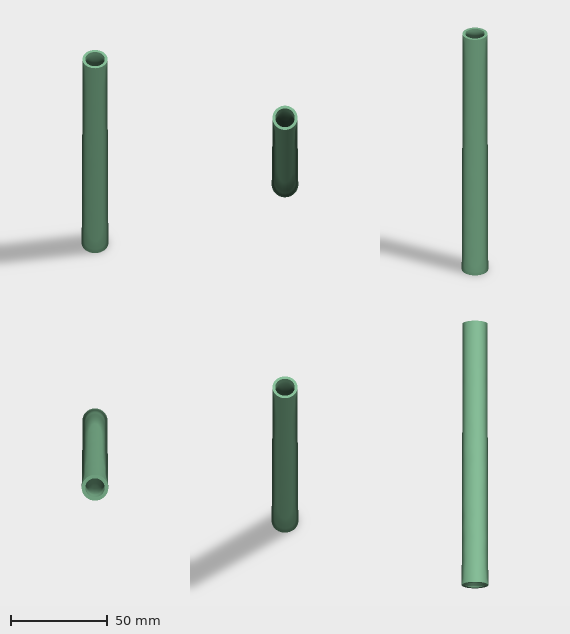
import cadquery as cq

length = 139.7
collar_length = 25.4
collar_diameter = 13.0
base_diameter = 13.8
bore_diameter = 10.0

collar_radius = collar_diameter / 2
base_radius = base_diameter / 2
bore_radius = bore_diameter / 2
collar_bottom = length - collar_length

wall_section = (
    cq.Workplane("YZ")
    .moveTo(-bore_radius, 0)
    .lineTo(-base_radius, 0)
    .lineTo(-collar_radius, collar_bottom)
    .lineTo(-collar_radius, length)
    .lineTo(-bore_radius, length)
    .close()
)

result = wall_section.revolve(360, (0, 0, 0), (0, 1, 0))